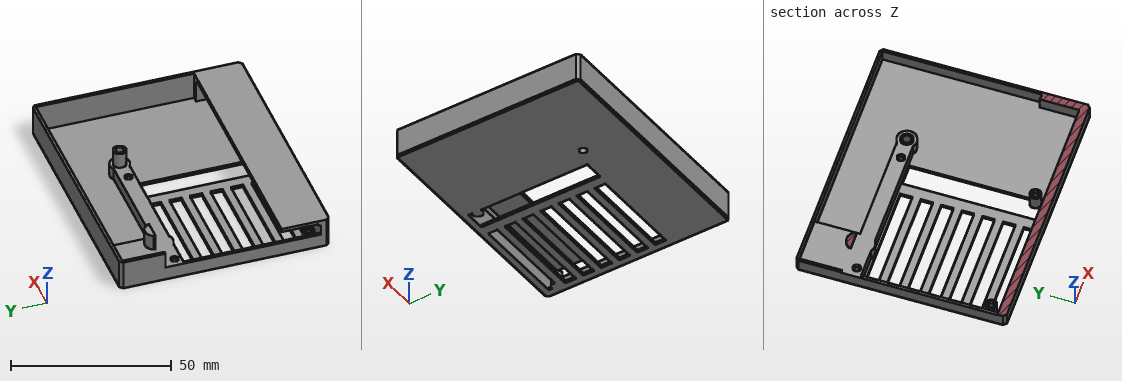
import cadquery as cq
import math

length = 84.5
width = 69.0
height = 10.6
wall = 1.0
corner_chamfer = 1.0
bottom_chamfer = 0.5

lid_depth = 15.9
lid_wall = 2.95
lid_chamfer = 1.0
lid_thickness = 1.2

platform_top = 5.15
block_right = 15.9
arm_front = 47.8
arm_back = 53.1
window_back = 54.1

post_x = 54.4
post_y = (arm_front + arm_back) / 2
post_diameter = 4.2
post_hole_diameter = 2.6
arm_end_diameter = 6.5

screw_xs = (3.2, 47.2)
arm_screw_y = 50.0
boss_screw_y = 5.9
boss_diameter = 3.7
screw_hole_diameter = 1.6
screw_mouth_diameter = 2.6
screw_mouth_depth = (screw_mouth_diameter - screw_hole_diameter) / 2

stop_x = 12.8
stop_radius = 3.5
stop_half_width = 3.0
stop_center_y = 53.1
stop_face_y = window_back
bulge_half_width = 2.0
bulge_depth = 0.6

slot_count = 7
slot_left = 3.2
slot_length = 33.7
slot_width = 4.0
slot_pitch = 6.8
first_slot_back = 46.9
bay_left = 40.7
bay_right = 47.9
bay_back = 47.6


def block(x0, x1, y0, y1, z0, z1):
    """Box between two opposite corners."""
    return cq.Workplane("XY").box(x1 - x0, y1 - y0, z1 - z0, centered=False).translate((x0, y0, z0))


def cylinder(x, y, diameter, z0, z1):
    """Upright cylinder between two heights."""
    return cq.Workplane("XY", origin=(x, y, z0)).circle(diameter / 2).extrude(z1 - z0)


def make_shell():
    """Tray with a lid strip over its front and a window in its left wall."""
    body = block(0, length, 0, width, 0, height)
    body = body.edges("|Z").chamfer(corner_chamfer)
    body = body.faces("<Z").chamfer(bottom_chamfer)

    lid_pocket = block(wall, length - lid_wall, lid_wall, lid_depth, wall, height - lid_thickness)
    lid_pocket = lid_pocket.edges(">Z and (<Y or >X)").chamfer(lid_chamfer)
    tray = block(wall, length - wall, lid_depth, width - wall, wall, height)

    window = block(0, wall, lid_wall, window_back, platform_top, height - lid_thickness)
    window = window.edges(">Z and <Y").chamfer(lid_chamfer)
    window_top = block(0, wall, lid_depth, window_back, platform_top, height)
    return body.cut(lid_pocket).cut(tray).cut(window).cut(window_top)


def make_platform():
    """Corner block, arm with a round end, and the bulge in the arm's front face."""
    corner = block(wall / 2, block_right, arm_front, width - wall / 2, wall / 2, platform_top)
    arm = block(wall / 2, post_x, arm_front, arm_back, wall / 2, platform_top)
    arm_end = cylinder(post_x, post_y, arm_end_diameter, wall / 2, platform_top)
    bulge = (
        cq.Workplane("XY", origin=(stop_x, arm_front, wall / 2))
        .moveTo(-bulge_half_width, 0)
        .threePointArc((0, -bulge_depth), (bulge_half_width, 0))
        .close()
        .extrude(platform_top - wall / 2)
    )
    return corner.union(arm).union(arm_end).union(bulge)


def make_stop():
    """Round-backed stop with a flat face and flat sides."""
    face_offset = stop_face_y - stop_center_y
    side_end = math.sqrt(stop_radius**2 - stop_half_width**2)
    return (
        cq.Workplane("XY", origin=(stop_x, stop_center_y, wall))
        .moveTo(-stop_half_width, face_offset)
        .lineTo(-stop_half_width, side_end)
        .threePointArc((0, stop_radius), (stop_half_width, side_end))
        .lineTo(stop_half_width, face_offset)
        .close()
        .extrude(height - wall)
    )


def make_screw_hole(x, y):
    """Cutter for a blind hole down to the floor with a countersunk mouth."""
    hole = cylinder(x, y, screw_hole_diameter, wall, platform_top)
    mouth = (
        cq.Workplane("XY", origin=(x, y, platform_top - screw_mouth_depth))
        .circle(screw_hole_diameter / 2)
        .workplane(offset=screw_mouth_depth)
        .circle(screw_mouth_diameter / 2)
        .loft()
    )
    return hole.union(mouth)


result = make_shell().union(make_platform()).union(make_stop())
result = result.union(cylinder(post_x, post_y, post_diameter, wall, height))

result = result.cut(cylinder(post_x, post_y, post_hole_diameter, 0, height))

for index in range(slot_count):
    slot_back = first_slot_back - index * slot_pitch
    slot_front = max(slot_back - slot_width, lid_wall)
    result = result.cut(block(slot_left, slot_left + slot_length, slot_front, slot_back, 0, wall))

result = result.cut(block(bay_left, bay_right, lid_wall, bay_back, 0, wall))

for screw_x in screw_xs:
    result = result.union(cylinder(screw_x, boss_screw_y, boss_diameter, 0, platform_top))
    for screw_y in (arm_screw_y, boss_screw_y):
        result = result.cut(make_screw_hole(screw_x, screw_y))